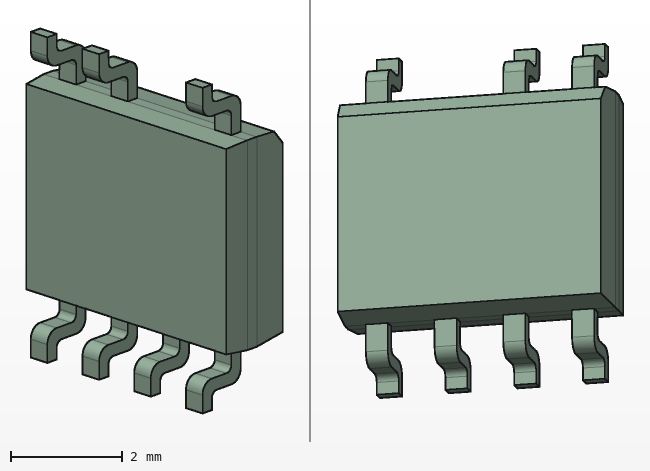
import cadquery as cq
import math

BODY_WIDTH = 5.0
BODY_HEIGHT = 4.0
BACK_DEPTH = 0.75
FRONT_DEPTH = 0.5
DRAFT_ANGLE = 5.0

CHAMFER_DEPTH = 0.25
CHAMFER_DROP = 0.33

LEAD_SPAN = 6.2
LEAD_THICKNESS = 0.25
LEAD_WIDTH = 0.41
LEAD_PITCH = 1.27
TOE_LENGTH = 0.355
OUTER_BEND_RADIUS = 0.25
INNER_BEND_RADIUS = 0.125
LEAD_PLACES = 4
LOWER_LEADS = (0, 1, 2, 3)
UPPER_LEADS = (0, 1, 3)

BAND_BACK = LEAD_THICKNESS
BODY_BACK = BAND_BACK + BACK_DEPTH
BODY_FRONT = -FRONT_DEPTH
TOE_FRONT = BODY_FRONT - LEAD_THICKNESS

OVERLAP = 0.125


def drafted_block(depth):
    """Block extending toward +Y from the band's front, tapering as it goes."""
    return (
        cq.Workplane("XZ")
        .rect(BODY_WIDTH, BODY_HEIGHT)
        .extrude(-depth, taper=DRAFT_ANGLE)
    )


def make_body():
    band = cq.Workplane("XZ").rect(BODY_WIDTH, BODY_HEIGHT).extrude(-LEAD_THICKNESS)
    back = drafted_block(BACK_DEPTH).translate((0, BAND_BACK, 0))
    front = drafted_block(FRONT_DEPTH).mirror("XZ")
    return band.union(back).union(front).cut(chamfer_cutter())


def chamfer_cutter():
    """Prism that removes the upper back edge across the whole width."""
    half_height = BODY_HEIGHT / 2
    start_y = BODY_BACK - CHAMFER_DEPTH
    start_inset = (BACK_DEPTH - CHAMFER_DEPTH) * math.tan(math.radians(DRAFT_ANGLE))
    return (
        cq.Workplane("YZ")
        .moveTo(start_y, half_height - start_inset)
        .lineTo(BODY_BACK, half_height - CHAMFER_DROP)
        .lineTo(BODY_BACK, half_height)
        .lineTo(start_y, half_height)
        .close()
        .extrude(BODY_WIDTH / 2, both=True)
    )


def make_upper_lead():
    """Upper lead centred on X = 0."""
    root = BODY_HEIGHT / 2 - OVERLAP
    tip = LEAD_SPAN / 2
    foot_top = tip - TOE_LENGTH
    foot_bottom = foot_top - LEAD_THICKNESS
    strip = (
        cq.Workplane("YZ")
        .moveTo(0, root)
        .lineTo(BAND_BACK, root)
        .lineTo(BAND_BACK, foot_top)
        .lineTo(BODY_FRONT, foot_top)
        .lineTo(BODY_FRONT, tip)
        .lineTo(TOE_FRONT, tip)
        .lineTo(TOE_FRONT, foot_bottom)
        .lineTo(0, foot_bottom)
        .close()
        .extrude(LEAD_WIDTH / 2, both=True)
    )
    outer_corners = ((BAND_BACK, foot_top), (TOE_FRONT, foot_bottom))
    inner_corners = ((0, foot_bottom), (BODY_FRONT, foot_top))
    for y, z in outer_corners:
        strip = strip.edges(cq.NearestToPointSelector((0, y, z))).fillet(OUTER_BEND_RADIUS)
    for y, z in inner_corners:
        strip = strip.edges(cq.NearestToPointSelector((0, y, z))).fillet(INNER_BEND_RADIUS)
    return strip


def lead_x(place):
    return (place - (LEAD_PLACES - 1) / 2) * LEAD_PITCH


upper_lead = make_upper_lead()
lower_lead = upper_lead.mirror("XY")

result = make_body()
for lead, places in ((upper_lead, UPPER_LEADS), (lower_lead, LOWER_LEADS)):
    for place in places:
        result = result.union(lead.translate((lead_x(place), 0, 0)))